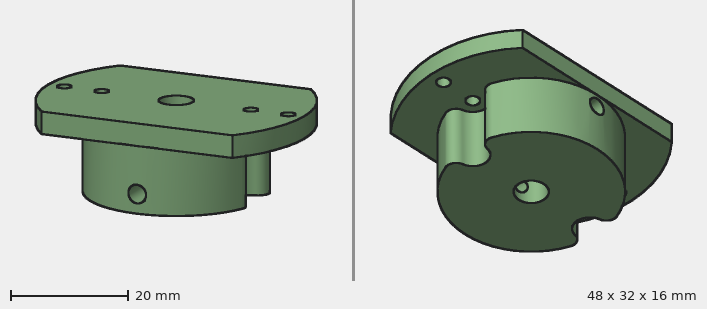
import cadquery as cq

flange_radius = 24.0
flange_width = 32.0
flange_thickness = 4.0

hub_radius = flange_width / 2
hub_height = 12.0

bore_diameter = 6.0
set_screw_diameter = 3.3
front_screw_height = 3.5
rear_screw_height = 9.5

mount_hole_diameter = 2.5
inner_mount_offset = 14.0
outer_mount_offset = 21.0

notch_radius = 3.0
notch_corner_radius = 2.0

total_height = hub_height + flange_thickness


def make_flange():
    top_of_hub = cq.Workplane("XY").workplane(offset=hub_height)
    disc = top_of_hub.circle(flange_radius).extrude(flange_thickness)
    trim = top_of_hub.rect(2 * flange_radius, flange_width).extrude(flange_thickness)
    return disc.intersect(trim)


def make_hub():
    hub = cq.Workplane("XY").circle(hub_radius).extrude(hub_height)
    notches = (
        cq.Workplane("XY")
        .pushPoints([(-inner_mount_offset, 0), (inner_mount_offset, 0)])
        .circle(notch_radius)
        .extrude(hub_height)
    )
    notched = hub.cut(notches)
    corner_edges = notched.edges("|Z").filter(lambda edge: abs(edge.Center().y) > notch_radius / 2)
    return corner_edges.fillet(notch_corner_radius)


def make_vertical_holes():
    bore = cq.Workplane("XY").circle(bore_diameter / 2).extrude(total_height)
    offsets = (inner_mount_offset, outer_mount_offset)
    mount_holes = (
        cq.Workplane("XY")
        .pushPoints([(side * offset, 0) for side in (-1, 1) for offset in offsets])
        .circle(mount_hole_diameter / 2)
        .extrude(total_height)
    )
    return bore.union(mount_holes)


def make_set_screw_hole(side, height):
    hole_axis = cq.Vector(0, side, 0)
    start = cq.Vector(0, 0, height)
    cylinder = cq.Solid.makeCylinder(set_screw_diameter / 2, hub_radius, start, hole_axis)
    return cq.Workplane(cylinder)


body = make_flange().union(make_hub()).cut(make_vertical_holes())
front_screw_hole = make_set_screw_hole(-1, front_screw_height)
rear_screw_hole = make_set_screw_hole(1, rear_screw_height)
result = body.cut(front_screw_hole).cut(rear_screw_hole)